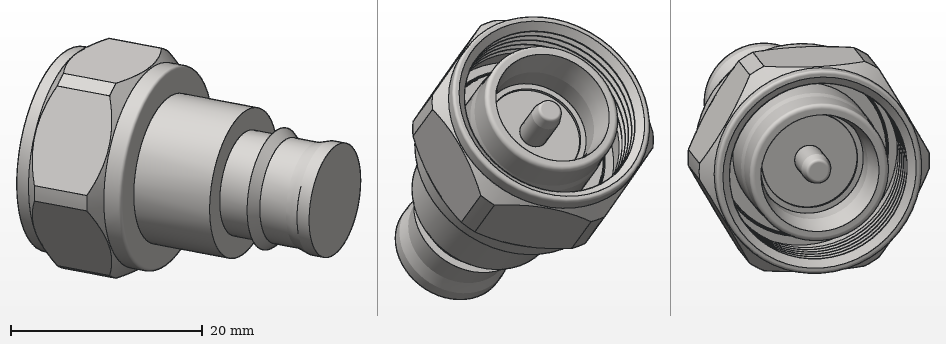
import cadquery as cq
import math

total_length = 32.0

nut_front_x = 0.22
nut_rear_x = 12.55
nut_r = 10.9
nut_edge_fillet = 0.32
hex_across_flats = 22.0
hex_corner_diameter = 24.48
hex_corner_r = hex_corner_diameter / 2
hex_front_x = 1.73
hex_rear_x = 10.5
hex_chamfer = hex_corner_r - nut_r

lead_in_r = 10.27
thread_crest_r = 9.45
thread_root_r = 10.15
thread_crest_width = 0.13
thread_start_x = 0.85
thread_pitch = 1.0
thread_count = 5
relief_r = 10.0
relief_floor_x = 9.1
gap_outer_r = 8.95
gap_inner_r = 8.83
gap_depth = 0.32
gap_chamfer = 0.1

sleeve_r = 7.35
sleeve_rear_r = 7.5
sleeve_taper_start_x = 3.52
sleeve_taper_end_x = 4.48
sleeve_fillet = 0.48
mouth_r = 6.27
socket_r = 5.7
mouth_depth = 3.05
socket_floor_x = 5.6
recess_r = 5.1
recess_depth = 0.32

pin_r = 1.55
pin_neck_r = 1.2
pin_tip_x = 0.6
pin_taper_end_x = 2.0
pin_tip_fillet = 0.32

body_r = 8.0
body_rear_x = 21.38
neck_r = 5.63
barb_r = 6.5
barb_front_x = 25.0
barb_rear_x = 26.05
flare_r = 6.08
flare_front_x = 29.12
flare_rear_x = 30.6


def turned(profile):
    """Revolve a closed outline of (x, radius) points about the X axis."""
    outline = cq.Workplane("XY").polyline(profile).close()
    return outline.revolve(360, (0, 0, 0), (1, 0, 0))


def cylinder(radius, start_x, end_x):
    """Solid cylinder along X between two positions."""
    return cq.Workplane("YZ", origin=(start_x, 0, 0)).circle(radius).extrude(end_x - start_x)


def make_hexagon():
    """Wrench hexagon with flats facing +Z and -Z, and its corners turned and chamfered."""
    length = hex_rear_x - hex_front_x
    across_corners = hex_across_flats / math.cos(math.pi / 6)
    prism = cq.Workplane("YZ", origin=(hex_front_x, 0, 0)).polygon(6, across_corners).extrude(length)
    envelope = cylinder(hex_corner_r, hex_front_x, hex_rear_x).edges().chamfer(hex_chamfer)
    return prism.intersect(envelope)


def make_nut_bore():
    """Cutter for the nut bore: lead-in cone, V-shaped thread rings, then a plain relief."""
    profile = [(nut_front_x, 0), (nut_front_x, lead_in_r), (thread_start_x, thread_crest_r)]
    for ring in range(thread_count):
        crest_end_x = thread_start_x + ring * thread_pitch + thread_crest_width
        next_crest_x = thread_start_x + (ring + 1) * thread_pitch
        profile += [
            (crest_end_x, thread_crest_r),
            ((crest_end_x + next_crest_x) / 2, thread_root_r),
            (next_crest_x, thread_crest_r),
        ]
    relief_start_x = thread_start_x + (thread_count + 0.5) * thread_pitch
    profile += [(relief_start_x, relief_r), (relief_floor_x, relief_r), (relief_floor_x, 0)]
    return turned(profile)


def make_gap():
    """Cutter for the narrow ring gap in the relief floor, chamfered on its outer lip."""
    gap_floor_x = relief_floor_x + gap_depth
    return turned([
        (relief_floor_x, gap_inner_r),
        (relief_floor_x, gap_outer_r + gap_chamfer),
        (relief_floor_x + gap_chamfer, gap_outer_r),
        (gap_floor_x, gap_outer_r),
        (gap_floor_x, gap_inner_r),
    ])


def make_nut():
    """Coupling nut, closed behind the bore so that it carries the inner parts."""
    barrel = cylinder(nut_r, nut_front_x, nut_rear_x).edges().fillet(nut_edge_fillet)
    return barrel.union(make_hexagon()).cut(make_nut_bore()).cut(make_gap())


def make_sleeve():
    """Outer contact: slightly tapered sleeve with a tapered mouth and a recessed socket floor."""
    front = cylinder(sleeve_r, 0, relief_floor_x).faces("<X").edges().fillet(sleeve_fillet)
    rear = turned([
        (sleeve_taper_start_x, 0),
        (sleeve_taper_start_x, sleeve_r),
        (sleeve_taper_end_x, sleeve_rear_r),
        (relief_floor_x, sleeve_rear_r),
        (relief_floor_x, 0),
    ])
    recess_floor_x = socket_floor_x + recess_depth
    socket = turned([
        (0, 0),
        (0, mouth_r),
        (mouth_depth, socket_r),
        (socket_floor_x, socket_r),
        (socket_floor_x, recess_r),
        (recess_floor_x, recess_r),
        (recess_floor_x, 0),
    ])
    return front.union(rear).cut(socket)


def make_pin():
    """Centre contact with a tapered, rounded tip."""
    pin = turned([
        (pin_tip_x, 0),
        (pin_tip_x, pin_neck_r),
        (pin_taper_end_x, pin_r),
        (relief_floor_x, pin_r),
        (relief_floor_x, 0),
    ])
    return pin.faces("<X").edges().fillet(pin_tip_fillet)


def make_rear_body():
    """Body cylinder and cable neck with a sharp barb and a flared end."""
    return turned([
        (nut_rear_x, 0),
        (nut_rear_x, body_r),
        (body_rear_x, body_r),
        (body_rear_x, neck_r),
        (barb_front_x, neck_r),
        (barb_front_x, barb_r),
        (barb_rear_x, neck_r),
        (flare_front_x, neck_r),
        (flare_rear_x, flare_r),
        (total_length, flare_r),
        (total_length, 0),
    ])


result = make_nut().union(make_sleeve()).union(make_pin()).union(make_rear_body())